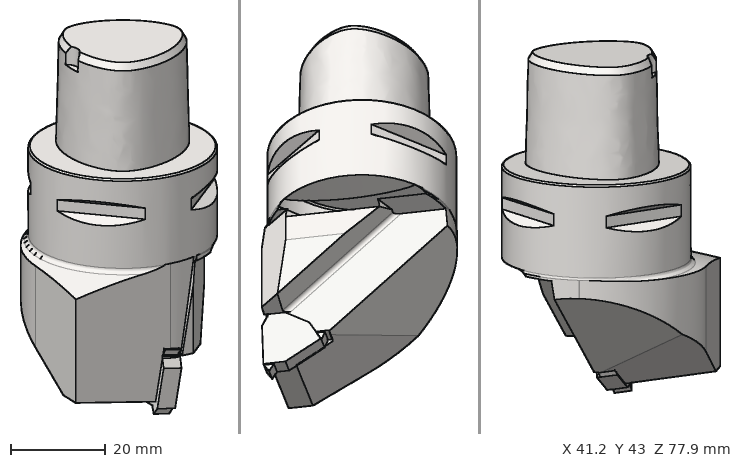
import cadquery as cq
import math


FLANGE_R = 40.0 / 2
FLANGE_LENGTH = 20.0
FLANGE_CHAMFER = 0.4
UNDERSIDE_ANGLE = 5.0

GROOVE_COUNT = 4
GROOVE_FIRST_ANGLE = 45.0
GROOVE_FLOOR_RADIUS = 17.55
GROOVE_FLOOR_HEIGHT = 2.5
GROOVE_MID_Z = -7.95
GROOVE_FLANK_ANGLE = 30.0

SHANK_LENGTH = 24.0
SHANK_BASE_R = 14.1
SHANK_TAPER = 0.025
LOBE_HEIGHT = 1.0
SHANK_CHAMFER_HEIGHT = 1.55
SHANK_CHAMFER_WIDTH = 0.9
OUTLINE_POINTS = 36
KEYWAY_R = 3.1
KEYWAY_CENTRE_Y = -14.1
KEYWAY_DEPTH = 4.1

HEAD_ROUND_R = 23.0
HEAD_FRONT_Y = -HEAD_ROUND_R
HEAD_LEFT_X = -20.1
HEAD_ROUND_X = HEAD_LEFT_X + HEAD_ROUND_R
HEAD_RIGHT_X = 19.95
SHOULDER_ANGLE = 15.0
SHOULDER_FILLET = 1.2
BACK_SLOPE = 39.4
BACK_START_Z = -24.55
COLLAR_BOTTOM_Z = -21.2

RAKE_ANGLE = 10.0
RAKE_FACE = 9.75
HEAD_BOTTOM = -50.45
BOTTOM_LEFT_X = 14.7
RELIEF_SLOPE = 30.0

WEDGE_RIGHT_X = 20.5
WEDGE_BACK_Y = 11.7
WEDGE_BACK_FACE = 16.5
WEDGE_BOTTOM_Z = -41.2
WEDGE_BOTTOM_X = 16.4
WEDGE_CORNER_Y = 5.4
WEDGE_CORNER_ANGLE = 45.0
WEDGE_LEFT_ANGLE = 28.0
RAKE_FILLET = 1.1
ROOT_FILLET = 2.8

INSERT_SEAT = 5.3
INSERT_RIGHT_X = 21.05
INSERT_BOTTOM = -51.6
INSERT_SIDE = 9.0
INSERT_END = 4.75
INSERT_TURNS = (0, 120, 240)
TIP_HEIGHT = 1.55
TIP_HALF_WIDTH = 1.1
TIP_DROP = 0.6
CLEARANCE_LEFT_X = 6.7
CLEARANCE_TOP = -45.4

FAR = 62.4
OVERLAP_Z = -15.6


def tangent(degrees):
    return math.tan(math.radians(degrees))


def leaning_slab(points, start, end):
    """Extrude an (X, leaning height) outline from start to end along the rake normal."""
    rake = math.radians(RAKE_ANGLE)
    plane = cq.Plane(origin=(0, 0, 0), xDir=(1, 0, 0), normal=(0, -math.cos(rake), math.sin(rake)))
    return cq.Workplane(plane).workplane(offset=-end).polyline(points).close().extrude(end - start)


def lobed_wire(mean_radius, z):
    """Closed three-lobed outline with one lobe pointing to +Y."""
    points = []
    for i in range(OUTLINE_POINTS):
        angle = 2 * math.pi * i / OUTLINE_POINTS
        reach = mean_radius - LOBE_HEIGHT * math.sin(3 * angle)
        swing = -3 * LOBE_HEIGHT * math.cos(3 * angle)
        points.append(cq.Vector(
            reach * math.cos(angle) - swing * math.sin(angle),
            reach * math.sin(angle) + swing * math.cos(angle),
            z,
        ))
    return cq.Wire.assembleEdges([cq.Edge.makeSpline(points, periodic=True)])


def make_shank():
    chamfer_z = SHANK_LENGTH - SHANK_CHAMFER_HEIGHT
    chamfer_r = SHANK_BASE_R - SHANK_TAPER * chamfer_z
    base = lobed_wire(SHANK_BASE_R, 0)
    shoulder = lobed_wire(chamfer_r, chamfer_z)
    top = lobed_wire(chamfer_r - SHANK_CHAMFER_WIDTH, SHANK_LENGTH)
    taper = cq.Workplane(cq.Solid.makeLoft([base, shoulder], True))
    cap = cq.Workplane(cq.Solid.makeLoft([shoulder, top], True))
    keyway = (
        cq.Workplane("XY", origin=(0, KEYWAY_CENTRE_Y, SHANK_LENGTH - KEYWAY_DEPTH))
        .circle(KEYWAY_R)
        .extrude(KEYWAY_DEPTH)
    )
    return taper.union(cap).cut(keyway)


def make_groove(angle):
    depth = FLANGE_R - GROOVE_FLOOR_RADIUS
    half_floor = GROOVE_FLOOR_HEIGHT / 2
    half_mouth = half_floor + depth * tangent(GROOVE_FLANK_ANGLE)
    return (
        cq.Workplane("XZ")
        .polyline([
            (GROOVE_FLOOR_RADIUS, GROOVE_MID_Z - half_floor),
            (FLANGE_R, GROOVE_MID_Z - half_mouth),
            (FLANGE_R, GROOVE_MID_Z + half_mouth),
            (GROOVE_FLOOR_RADIUS, GROOVE_MID_Z + half_floor),
        ])
        .close()
        .extrude(FLANGE_R, both=True)
        .rotate((0, 0, 0), (0, 0, 1), angle)
    )


def make_flange():
    underside_z = -FLANGE_LENGTH - FLANGE_R * tangent(UNDERSIDE_ANGLE)
    flange = (
        cq.Workplane("XZ")
        .polyline([
            (0, 0),
            (FLANGE_R - FLANGE_CHAMFER, 0),
            (FLANGE_R, -FLANGE_CHAMFER),
            (FLANGE_R, -FLANGE_LENGTH),
            (0, underside_z),
        ])
        .close()
        .revolve(360, (0, 0, 0), (0, 1, 0))
    )
    for i in range(GROOVE_COUNT):
        flange = flange.cut(make_groove(GROOVE_FIRST_ANGLE + i * 360 / GROOVE_COUNT))
    return flange


def make_shoulder_limit():
    """Round envelope whose conical top blends into the flange with a fillet."""
    tangent_length = SHOULDER_FILLET * tangent((90 - SHOULDER_ANGLE) / 2)
    corner_z = -FLANGE_LENGTH - tangent_length
    cone = math.radians(SHOULDER_ANGLE)
    fillet_end = (
        FLANGE_R + tangent_length * math.cos(cone),
        corner_z - tangent_length * math.sin(cone),
    )
    return (
        cq.Workplane("XZ")
        .moveTo(0, OVERLAP_Z)
        .lineTo(FLANGE_R, OVERLAP_Z)
        .lineTo(FLANGE_R, -FLANGE_LENGTH)
        .tangentArcPoint(fillet_end, relative=False)
        .lineTo(FAR, corner_z - (FAR - FLANGE_R) * tangent(SHOULDER_ANGLE))
        .lineTo(FAR, -FAR)
        .lineTo(0, -FAR)
        .close()
        .revolve(360, (0, 0, 0), (0, 1, 0))
    )


def slope_x(z):
    """X of the wedge's sloping underside at height z."""
    return WEDGE_BOTTOM_X - (z - WEDGE_BOTTOM_Z) / tangent(BACK_SLOPE)


def lean_y(place, z):
    """Y at height z of a leaning face that lies at this place along the rake normal."""
    rake = math.radians(RAKE_ANGLE)
    return (place + z * math.sin(rake)) / math.cos(rake)


def make_collar():
    """Bar along X that carries the head across the flange's underside and ends in a cove."""
    cove_z = -FLANGE_LENGTH - ROOT_FILLET
    cove_y = WEDGE_BACK_Y + ROOT_FILLET
    rise = COLLAR_BOTTOM_Z - cove_z
    bottom_y = cove_y - math.sqrt(ROOT_FILLET ** 2 - rise ** 2)
    return (
        cq.Workplane("YZ")
        .moveTo(0, OVERLAP_Z)
        .lineTo(cove_y, OVERLAP_Z)
        .lineTo(cove_y, -FLANGE_LENGTH)
        .radiusArc((bottom_y, COLLAR_BOTTOM_Z), -ROOT_FILLET)
        .lineTo(0, COLLAR_BOTTOM_Z)
        .close()
        .extrude(FAR, both=True)
    )


def make_head():
    diagonal = math.sqrt(0.5)
    outline = (
        cq.Workplane("XY", origin=(0, 0, OVERLAP_Z))
        .moveTo(HEAD_LEFT_X, 0)
        .threePointArc(
            (HEAD_ROUND_X - HEAD_ROUND_R * diagonal, -HEAD_ROUND_R * diagonal),
            (HEAD_ROUND_X, HEAD_FRONT_Y),
        )
        .lineTo(HEAD_RIGHT_X, HEAD_FRONT_Y)
        .lineTo(HEAD_RIGHT_X, 0)
        .threePointArc((0, -HEAD_LEFT_X), (HEAD_LEFT_X, 0))
        .close()
        .extrude(-FAR)
    )
    back_limit = (
        cq.Workplane("XZ")
        .polyline([
            (HEAD_LEFT_X, 0),
            (HEAD_LEFT_X, BACK_START_Z),
            (FAR, BACK_START_Z - (FAR - HEAD_LEFT_X) * tangent(BACK_SLOPE)),
            (FAR, 0),
        ])
        .close()
        .extrude(FAR, both=True)
    )
    lean_limit = leaning_slab(
        [
            (FAR, HEAD_BOTTOM),
            (FAR, FAR),
            (-FAR, FAR),
            (-FAR, HEAD_BOTTOM + (BOTTOM_LEFT_X + FAR) * tangent(RELIEF_SLOPE)),
            (BOTTOM_LEFT_X, HEAD_BOTTOM),
        ],
        -FAR,
        RAKE_FACE,
    )
    return outline.intersect(back_limit).intersect(lean_limit.union(make_collar()))


def make_wedge():
    root_z = -FLANGE_LENGTH - ROOT_FILLET
    root_y = WEDGE_BACK_Y + ROOT_FILLET
    bevel_run = (root_y - WEDGE_CORNER_Y) * tangent(WEDGE_CORNER_ANGLE)
    left_x = slope_x(root_z)
    left_slant = tangent(WEDGE_LEFT_ANGLE)
    outline = (
        cq.Workplane("XY", origin=(0, 0, OVERLAP_Z))
        .polyline([
            (left_x - WEDGE_BACK_Y * left_slant, 0),
            (WEDGE_RIGHT_X, 0),
            (WEDGE_RIGHT_X, WEDGE_CORNER_Y),
            (WEDGE_RIGHT_X - bevel_run, root_y),
            (left_x + ROOT_FILLET * left_slant, root_y),
        ])
        .close()
        .extrude(-FAR)
    )
    slope_limit = (
        cq.Workplane("XZ")
        .polyline([
            (slope_x(OVERLAP_Z), OVERLAP_Z),
            (WEDGE_BOTTOM_X, WEDGE_BOTTOM_Z),
            (WEDGE_RIGHT_X, WEDGE_BOTTOM_Z),
            (WEDGE_RIGHT_X, OVERLAP_Z),
        ])
        .close()
        .extrude(FAR, both=True)
    )
    rake = math.radians(RAKE_ANGLE)
    back_bend_z = (WEDGE_BACK_Y * math.cos(rake) - WEDGE_BACK_FACE) / math.sin(rake)
    profile = (
        cq.Workplane("YZ")
        .moveTo(lean_y(RAKE_FACE, OVERLAP_Z), OVERLAP_Z)
        .lineTo(lean_y(RAKE_FACE, WEDGE_BOTTOM_Z), WEDGE_BOTTOM_Z)
        .lineTo(lean_y(WEDGE_BACK_FACE, WEDGE_BOTTOM_Z), WEDGE_BOTTOM_Z)
        .lineTo(WEDGE_BACK_Y, back_bend_z)
        .lineTo(WEDGE_BACK_Y, root_z)
        .tangentArcPoint((root_y, -FLANGE_LENGTH), relative=False)
        .lineTo(root_y, OVERLAP_Z)
        .close()
        .extrude(FAR, both=True)
    )
    return outline.intersect(slope_limit).intersect(profile)


def round_rake_corner(head):
    """Fillet the inner corner between the rake face and the wedge's sloping underside."""
    mid_z = (WEDGE_BOTTOM_Z - FLANGE_LENGTH) / 2
    middle = (slope_x(mid_z), lean_y(RAKE_FACE, mid_z), mid_z)
    return head.edges(cq.NearestToPointSelector(middle)).fillet(RAKE_FILLET)


def insert_centre():
    """Centre of the insert; a third of a turn about it carries the side top to the end's left corner."""
    end_left = (INSERT_RIGHT_X - INSERT_END, INSERT_BOTTOM)
    side_top = (INSERT_RIGHT_X, INSERT_BOTTOM + INSERT_SIDE)
    offset = 0.5 / math.sqrt(3)
    return (
        (end_left[0] + side_top[0]) / 2 - INSERT_SIDE * offset,
        (end_left[1] + side_top[1]) / 2 + INSERT_END * offset,
    )


def turned(point, centre, degrees):
    angle = math.radians(degrees)
    dx = point[0] - centre[0]
    dy = point[1] - centre[1]
    return (
        centre[0] + dx * math.cos(angle) - dy * math.sin(angle),
        centre[1] + dx * math.sin(angle) + dy * math.cos(angle),
    )


def make_insert():
    centre = insert_centre()
    end_left = (INSERT_RIGHT_X - INSERT_END, INSERT_BOTTOM)
    end_right = (INSERT_RIGHT_X, INSERT_BOTTOM)
    outline = [turned(point, centre, turn) for turn in INSERT_TURNS for point in (end_left, end_right)]
    insert = leaning_slab(outline, INSERT_SEAT, RAKE_FACE)
    tip = [
        (INSERT_RIGHT_X - 2 * TIP_HALF_WIDTH, INSERT_BOTTOM),
        (INSERT_RIGHT_X - TIP_HALF_WIDTH, INSERT_BOTTOM - TIP_HEIGHT),
        end_right,
        centre,
    ]
    for turn in INSERT_TURNS:
        points = [turned(point, centre, turn) for point in tip]
        insert = insert.union(leaning_slab(points, INSERT_SEAT, RAKE_FACE - TIP_DROP))
    return insert


def make_tip_clearance():
    """Open corner of the pocket around the left tip of the insert."""
    centre_x = insert_centre()[0]
    return leaning_slab(
        [
            (CLEARANCE_LEFT_X, INSERT_BOTTOM),
            (CLEARANCE_LEFT_X, CLEARANCE_TOP),
            (centre_x, CLEARANCE_TOP),
            (centre_x, INSERT_BOTTOM),
        ],
        INSERT_SEAT,
        RAKE_FACE,
    )


def make_holder(insert):
    head = round_rake_corner(make_head().union(make_wedge())).intersect(make_shoulder_limit())
    holder = make_flange().union(head).union(make_shank())
    return holder.cut(make_tip_clearance()).cut(insert)


insert = make_insert()
holder = make_holder(insert)

result = cq.Compound.makeCompound([holder.solids().val(), insert.solids().val()])